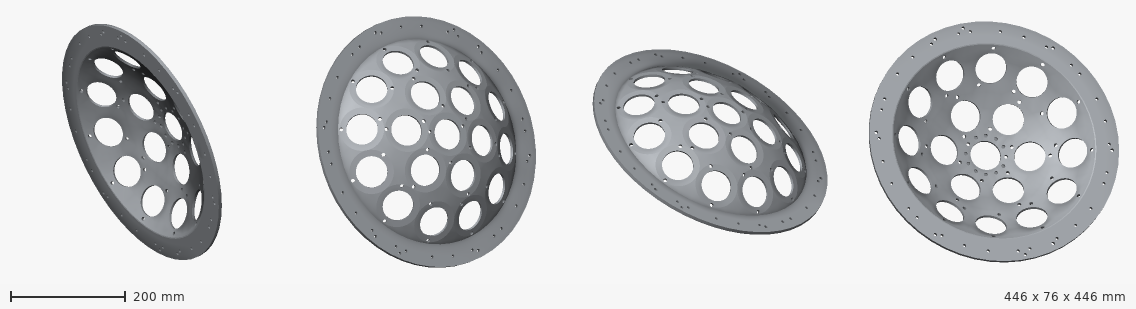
import cadquery as cq
import math

flange_radius = 223.0
flange_thickness = 6.5

dome_outer_radius = 267.5
dome_inner_radius = 262.0
total_depth = 76.0

mouth_radius = 182.5
mouth_chamfer_depth = 0.65

flat_radius = 39.0
flat_cutter_radius = 40.0
center_opening_diameter = 54.0
ring_opening_diameter = 55.0
station_tilt = 17.0
inner_ring_count = 6
outer_ring_count = 12

bolt_circle_radius = 36.0
bolt_hole_radius = 3.35
bolt_angles = (0, 150)
blind_hole_spacing = 30
blind_hole_floor = 2.2

flange_hole_radius = 2.75
sector_start_hole_radius = 3.05
sector_angle = 60
sector_hole_circle = 205.5
sector_hole_angles = (3, 15, 27, 42, 48)
sector_start_circle = 210.5
extra_hole_circle = 214.0
extra_hole_angles = (105, 285)

flat_distance = math.sqrt(dome_outer_radius**2 - flat_radius**2)
dome_center_y = total_depth - flat_distance
cutter_length = 35.5


def sphere_section(sphere_radius, y):
    """Radius of a dome sphere in the plane at height y."""
    return math.sqrt(sphere_radius**2 - (y - dome_center_y) ** 2)


def sphere_midpoint(sphere_radius, edge_radius):
    """Point of a sphere halfway between the axis and a given edge radius, as (radius, y)."""
    half_angle = math.asin(edge_radius / sphere_radius) / 2
    return (
        sphere_radius * math.sin(half_angle),
        dome_center_y + sphere_radius * math.cos(half_angle),
    )


def make_body():
    """Flange and dome shell, revolved about the Y axis."""
    outer_edge = sphere_section(dome_outer_radius, flange_thickness)
    inner_edge = sphere_section(dome_inner_radius, mouth_chamfer_depth)
    profile = (
        cq.Workplane("XY")
        .moveTo(mouth_radius, 0)
        .lineTo(flange_radius, 0)
        .lineTo(flange_radius, flange_thickness)
        .lineTo(outer_edge, flange_thickness)
        .threePointArc(
            sphere_midpoint(dome_outer_radius, outer_edge),
            (0, dome_center_y + dome_outer_radius),
        )
        .lineTo(0, dome_center_y + dome_inner_radius)
        .threePointArc(
            sphere_midpoint(dome_inner_radius, inner_edge),
            (inner_edge, mouth_chamfer_depth),
        )
        .close()
    )
    return profile.revolve(360, (0, 0, 0), (0, 1, 0))


def polar(radius, angle):
    """Point at a radius and an angle in degrees."""
    turn = math.radians(angle)
    return (radius * math.cos(turn), radius * math.sin(turn))


def cutter(radius, start, length, offset=(0, 0)):
    """Cylinder along +Y from a distance `start` off the sphere center; offset is (x, z)."""
    base = cq.Vector(offset[0], dome_center_y + start, offset[1])
    return cq.Solid.makeCylinder(radius, length, base, cq.Vector(0, 1, 0))


def station_cutters(opening_diameter):
    """Flat, opening and bolt holes of a station on the dome axis."""
    through_start = flat_distance - cutter_length / 2
    cutters = [
        cutter(flat_cutter_radius, flat_distance, cutter_length),
        cutter(opening_diameter / 2, through_start, cutter_length),
    ]
    for angle in bolt_angles:
        place = polar(bolt_circle_radius, angle)
        cutters.append(cutter(bolt_hole_radius, through_start, cutter_length, place))
    return cutters


def place_station(shape, tilt, turn):
    """Tilt a cutter about the sphere center towards +X, then turn it about the dome axis."""
    center = cq.Vector(0, dome_center_y, 0)
    tilted = shape.rotate(center, center + cq.Vector(0, 0, 4.5), -tilt)
    return tilted.rotate(center, center + cq.Vector(0, 4.5, 0), -turn)


def all_station_cutters():
    """The center station and the two rings of stations around it."""
    cutters = station_cutters(center_opening_diameter)
    for ring, count in ((1, inner_ring_count), (2, outer_ring_count)):
        for index in range(count):
            for shape in station_cutters(ring_opening_diameter):
                cutters.append(place_station(shape, ring * station_tilt, index * 360 / count))
    return cutters


def blind_hole_cutters():
    """Blind holes from inside, filling the rest of the center bolt circle."""
    start = flat_distance - cutter_length
    length = cutter_length - blind_hole_floor
    return [
        cutter(bolt_hole_radius, start, length, polar(bolt_circle_radius, angle))
        for angle in range(0, 360, blind_hole_spacing)
        if angle not in bolt_angles
    ]


def flange_hole(hole_radius, circle_radius, angle):
    """Cutter for one through hole of the flange."""
    return cutter(hole_radius, -dome_center_y, flange_thickness, polar(circle_radius, angle))


def flange_hole_cutters():
    """Through holes of the flange, repeated in equal sectors, plus one opposite pair."""
    cutters = [flange_hole(flange_hole_radius, extra_hole_circle, angle) for angle in extra_hole_angles]
    for sector in range(0, 360, sector_angle):
        cutters.append(flange_hole(sector_start_hole_radius, sector_start_circle, sector))
        for angle in sector_hole_angles:
            cutters.append(flange_hole(flange_hole_radius, sector_hole_circle, sector + angle))
    return cutters


body = make_body().val()
result = cq.Workplane(
    body.cut(*all_station_cutters(), *blind_hole_cutters(), *flange_hole_cutters())
)